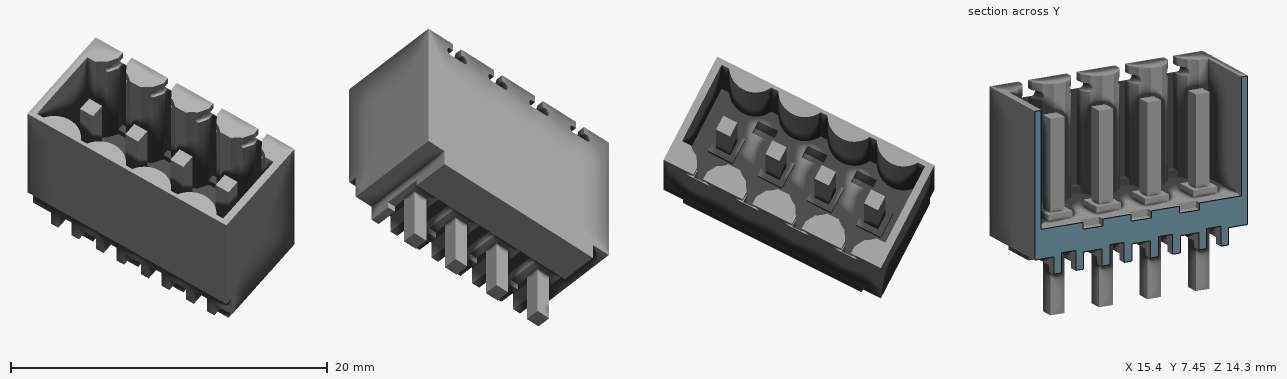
import cadquery as cq
import math

pin_count = 4
pitch = 3.5

housing_length = 15.4
housing_depth = 7.45
housing_height = 9.89
front_step_depth = 0.62
front_step_height = 1.72

end_wall = 0.5
front_wall_at_ends = 0.34
front_wall_at_valleys = 0.23
cavity_rear = 5.85
floor_height = 2.0

front_rib_radius = 1.7
front_rib_crest = 1.14

keyway_mouth_radius = 1.8
keyway_mouth_center = 4.64
taper_mouth_half_width = 0.72
taper_end_half_width = 0.34
taper_end = 6.93
key_slot_web = 0.05

latch_slot_length = 1.66
latch_slot_flat_length = 1.3
latch_slot_bottom = 1.1
latch_slot_height = 0.55

pedestal_side = 1.74
pedestal_height = 0.46
key_slot_ledge_height = pedestal_height
floor_pocket_width = 1.42
floor_pocket_front = 1.14
floor_pocket_bottom_front = 1.57
floor_pocket_rear = 1.99
floor_pocket_depth = 0.46

feet_length = 12.66
feet_height = 1.14
channel_front = 2.15
channel_rear = 4.84
channel_depth = 0.45
foot_gap_width = 1.31
pin_notch_rise = 0.18

pin_side = 1.0
pin_y = 3.5
pin_top_drop = 1.22
pin_bottom = -4.36

pin_positions = [(i - (pin_count - 1) / 2) * pitch for i in range(pin_count)]
gap_positions = [x + pitch / 2 for x in pin_positions[:-1]]
cavity_half_length = housing_length / 2 - end_wall
cavity_height = housing_height - floor_height


def block(x_range, y_range, z_range):
    """Box between the given limits."""
    (x0, x1), (y0, y1), (z0, z1) = x_range, y_range, z_range
    return cq.Workplane("XY").box(x1 - x0, y1 - y0, z1 - z0, centered=False).translate((x0, y0, z0))


def centered_block(x, width, y_range, z_range):
    """Box of the given width, centred on x."""
    return block((x - width / 2, x + width / 2), y_range, z_range)


def outer_block():
    """Outside of the housing with the set-back lower front."""
    profile = [
        (0, front_step_height),
        (0, housing_height),
        (housing_depth, housing_height),
        (housing_depth, 0),
        (front_step_depth, 0),
        (front_step_depth, front_step_height),
    ]
    body = cq.Workplane("YZ").polyline(profile).close().extrude(housing_length)
    return body.translate((-housing_length / 2, 0, 0))


def cavity():
    """Open space above the floor, without the front ribs and with the keyways."""
    z_range = (floor_height, housing_height)
    space = block((-cavity_half_length, cavity_half_length), (front_wall_at_ends, cavity_rear), z_range)
    valleys = block((pin_positions[0], pin_positions[-1]), (front_wall_at_valleys, cavity_rear), z_range)
    space = space.union(valleys)
    for x in pin_positions:
        rib = cq.Workplane("XY").circle(front_rib_radius).extrude(housing_height)
        space = space.cut(rib.translate((x, front_rib_crest - front_rib_radius, 0)))
    for x in pin_positions:
        space = space.union(keyway(x))
    return space


def keyway(x):
    """Keyway space behind one pin: round mouth, taper and narrow slot, open at the top."""
    taper_mouth = keyway_mouth_center + math.sqrt(keyway_mouth_radius**2 - taper_mouth_half_width**2)
    mouth_half_width = math.sqrt(keyway_mouth_radius**2 - (cavity_rear - keyway_mouth_center) ** 2)
    diagonal = keyway_mouth_radius * math.sqrt(0.5)
    outline = (
        cq.Workplane("XY")
        .moveTo(-mouth_half_width, cavity_rear)
        .threePointArc((-diagonal, keyway_mouth_center + diagonal), (-taper_mouth_half_width, taper_mouth))
        .lineTo(-taper_end_half_width, taper_end)
        .lineTo(taper_end_half_width, taper_end)
        .lineTo(taper_mouth_half_width, taper_mouth)
        .threePointArc((diagonal, keyway_mouth_center + diagonal), (mouth_half_width, cavity_rear))
        .close()
    )
    channel = outline.extrude(cavity_height).translate((x, 0, floor_height))
    slot_y = (taper_end, housing_depth - key_slot_web)
    slot_z = (floor_height + key_slot_ledge_height, housing_height)
    return channel.union(centered_block(x, 2 * taper_end_half_width, slot_y, slot_z))


def latch_opening(x):
    """Cross slot with bulging ends and a neck up to the housing top, cut through the rear wall."""
    bottom = housing_height - latch_slot_bottom
    middle = bottom + latch_slot_height / 2
    top = bottom + latch_slot_height
    half_flat = latch_slot_flat_length / 2
    half_length = latch_slot_length / 2
    slot = (
        cq.Workplane("XZ")
        .moveTo(-half_flat, bottom)
        .lineTo(half_flat, bottom)
        .threePointArc((half_length, middle), (half_flat, top))
        .lineTo(-half_flat, top)
        .threePointArc((-half_length, middle), (-half_flat, bottom))
        .close()
        .extrude(-(housing_depth - cavity_rear))
        .translate((x, cavity_rear, 0))
    )
    neck = centered_block(x, 2 * taper_end_half_width, (cavity_rear, housing_depth), (bottom, housing_height))
    return slot.union(neck)


def pedestal(x):
    """Square raised pad around one pin."""
    y_range = (pin_y - pedestal_side / 2, pin_y + pedestal_side / 2)
    return centered_block(x, pedestal_side, y_range, (floor_height, floor_height + pedestal_height))


def floor_pocket(x):
    """Pocket in the floor with a sloping front side."""
    bottom = floor_height - floor_pocket_depth
    profile = [
        (floor_pocket_front, floor_height),
        (floor_pocket_bottom_front, bottom),
        (floor_pocket_rear, bottom),
        (floor_pocket_rear, floor_height),
    ]
    pocket = cq.Workplane("YZ").polyline(profile).close().extrude(floor_pocket_width)
    return pocket.translate((x - floor_pocket_width / 2, 0, 0))


def feet():
    """Standoff under the housing, with a lengthwise channel and gaps between the pins."""
    standoff = centered_block(0, feet_length, (front_step_depth, housing_depth), (-feet_height, 0))
    channel_z = (-feet_height, channel_depth - feet_height)
    standoff = standoff.cut(centered_block(0, feet_length, (channel_front, channel_rear), channel_z))
    for x in gap_positions:
        gap_y = (front_step_depth, channel_rear)
        standoff = standoff.cut(centered_block(x, foot_gap_width, gap_y, (-feet_height, 0)))
    return standoff


def pin_notch(x):
    """Notch from the front to one pin, as wide as the pin."""
    y_range = (front_step_depth, pin_y + pin_side / 2)
    return centered_block(x, pin_side, y_range, (-feet_height, pin_notch_rise))


def pin(x):
    """Straight square pin."""
    y_range = (pin_y - pin_side / 2, pin_y + pin_side / 2)
    return centered_block(x, pin_side, y_range, (pin_bottom, housing_height - pin_top_drop))


pins = [pin(x) for x in pin_positions]

housing = outer_block().cut(cavity()).union(feet())
for x in pin_positions:
    housing = housing.cut(latch_opening(x)).union(pedestal(x)).cut(pin_notch(x))
for x in gap_positions:
    housing = housing.cut(floor_pocket(x))
for contact in pins:
    housing = housing.cut(contact)

result = cq.Compound.makeCompound([housing.val(), *[contact.val() for contact in pins]])